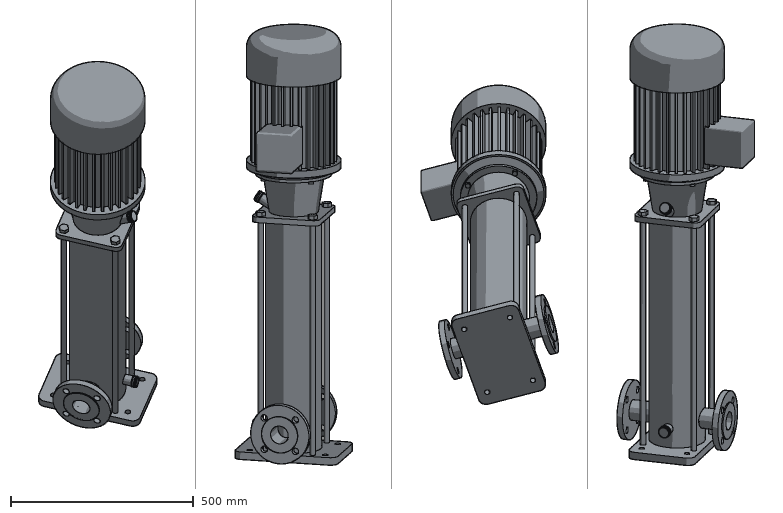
import cadquery as cq
import math


total_height = 1190.0
base_length = 290.0
plate_width = 190.0
base_thickness = 21.0
base_corner_radius = 21.0
base_hole_diameter = 14.0
base_hole_x = 107.0
base_hole_y = 65.0
head_plate_top = 687.0
head_plate_thickness = 15.0
head_corner_radius = 18.0

tube_diameter = 155.0
rod_diameter = 15.0
rod_offset = 74.0
nut_across_corners = 27.0
nut_height = 11.0
nut_sides = 6

nozzle_height = 90.0
nozzle_reach = 150.0
nozzle_pipe_diameter = 57.0
nozzle_bore_diameter = 50.0
nozzle_flange_diameter = 165.0
nozzle_flange_thickness = 17.0
raised_face_diameter = 102.0
raised_face_height = 4.0
nozzle_hole_diameter = 18.0
nozzle_hole_circle = 125.0
nozzle_hole_count = 4

first_bolt_angle = 45

plug_neck_diameter = 29.0
plug_head_diameter = 32.0
plug_head_length = 7.0
plug_head_chamfer = 4.0
plug_groove_length = 5.0
plug_collar_length = 2.0
drain_height = 76.0
drain_reach = 114.0
drain_embedment = 12.0
vent_start_x = 60.0
vent_start_height = 699.0
vent_length = 52.0
vent_tilt = 30.0

stool_bottom_diameter = 136.0
stool_top_diameter = 169.0
ring_diameter = 210.0
ring_bottom = 791.0
ring_thickness = 8.0
stool_screw_diameter = 14.0
stool_screw_circle = 190.0
stool_screw_drop = 7.0
stool_screw_count = 4

motor_diameter = 260.0
motor_flange_bottom = 810.0
motor_flange_top = 831.0
motor_taper_top_diameter = 249.0
cap_bottom = 1067.0
cap_dome_radius = 40.0
fin_tip_diameter = 237.0
fin_root_diameter = 202.0
fin_thickness = 6.5
fin_count = 30
first_fin_angle = 270

box_width = 104.0
box_bottom = 843.0
box_height = 111.0
box_reach = 208.0
box_inner_y = 98.0
box_edge_radius = 6.0


def cylinder(diameter, bottom, top):
    """Upright cylinder on the pump axis."""
    return cq.Workplane("XY").workplane(offset=bottom).circle(diameter / 2).extrude(top - bottom)


def cone(bottom_diameter, top_diameter, bottom, top):
    """Upright truncated cone on the pump axis."""
    return (
        cq.Workplane("XY").workplane(offset=bottom).circle(bottom_diameter / 2)
        .workplane(offset=top - bottom).circle(top_diameter / 2).loft(ruled=True)
    )


def rounded_plate(length, width, bottom, thickness, corner_radius):
    """Horizontal plate with rounded vertical corners."""
    plate = cq.Workplane("XY").workplane(offset=bottom).rect(length, width).extrude(thickness)
    return plate.edges("|Z").fillet(corner_radius)


def make_base():
    base = rounded_plate(base_length, plate_width, 0, base_thickness, base_corner_radius)
    return (
        base.faces(">Z").workplane()
        .rect(2 * base_hole_x, 2 * base_hole_y, forConstruction=True)
        .vertices().hole(base_hole_diameter)
    )


def make_tie_rods():
    """Four rods between the plates, each with a hexagon nut on the head plate."""
    spacing = 2 * rod_offset
    rods = (
        cq.Workplane("XY").rect(spacing, spacing, forConstruction=True).vertices()
        .circle(rod_diameter / 2).extrude(head_plate_top)
    )
    nuts = (
        cq.Workplane("XY").workplane(offset=head_plate_top)
        .rect(spacing, spacing, forConstruction=True).vertices()
        .polygon(nut_sides, nut_across_corners).extrude(nut_height)
    )
    return rods.union(nuts)


def make_nozzles():
    """Bored pipe along Y with a drilled flange and raised face at each end."""
    def nozzle_plane(y):
        return cq.Workplane(cq.Plane((0, y, nozzle_height), xDir=(1, 0, 0), normal=(0, 1, 0)))

    def disc(diameter, start_y, end_y):
        return nozzle_plane(start_y).circle(diameter / 2).extrude(end_y - start_y)

    flange_face = nozzle_reach - raised_face_height
    flange_back = flange_face - nozzle_flange_thickness
    holes = (
        nozzle_plane(-nozzle_reach)
        .polarArray(nozzle_hole_circle / 2, first_bolt_angle, 360, nozzle_hole_count)
        .circle(nozzle_hole_diameter / 2).extrude(2 * nozzle_reach)
    )
    nozzles = disc(raised_face_diameter, flange_back, nozzle_reach)
    nozzles = nozzles.union(disc(raised_face_diameter, -nozzle_reach, -flange_back))
    for side in (-1, 1):
        nozzles = nozzles.union(disc(nozzle_flange_diameter, side * flange_back, side * flange_face))
    pipe = disc(nozzle_pipe_diameter, -nozzle_reach, nozzle_reach)
    bore = disc(nozzle_bore_diameter, -nozzle_reach, nozzle_reach)
    return nozzles.cut(holes).union(pipe).cut(bore)


def make_plug(start_x, start_z, length, tilt):
    """Screw plug in the XZ plane: neck, collar, groove and head along a tilted axis."""
    direction = (math.cos(math.radians(tilt)), 0, math.sin(math.radians(tilt)))
    plane = cq.Plane((start_x, 0, start_z), xDir=(0, 1, 0), normal=direction)
    plug = cq.Workplane(plane).circle(plug_neck_diameter / 2).extrude(length)
    head_start = length - plug_head_length
    collar_start = head_start - plug_groove_length - plug_collar_length
    collar = cq.Workplane(plane).workplane(offset=collar_start).circle(plug_head_diameter / 2)
    head = cq.Workplane(plane).workplane(offset=head_start).circle(plug_head_diameter / 2)
    head = head.extrude(plug_head_length).faces(cq.selectors.DirectionMinMaxSelector(plane.zDir))
    head = head.chamfer(plug_head_chamfer)
    return plug.union(collar.extrude(plug_collar_length)).union(head)


def make_stool():
    """Conical motor stool carrying a flat ring with screws below it."""
    ring_top = ring_bottom + ring_thickness
    stool = cone(stool_bottom_diameter, stool_top_diameter, head_plate_top, ring_bottom)
    ring = cylinder(ring_diameter, ring_bottom, ring_top)
    taper = cone(ring_diameter, motor_taper_top_diameter, ring_top, motor_flange_bottom)
    screws = (
        cq.Workplane("XY").workplane(offset=ring_bottom - stool_screw_drop)
        .polarArray(stool_screw_circle / 2, first_bolt_angle, 360, stool_screw_count)
        .circle(stool_screw_diameter / 2).extrude(stool_screw_drop + ring_thickness)
    )
    return stool.union(ring).union(taper).union(screws)


def make_motor():
    """Finned barrel between a flange and a domed fan cap."""
    flange = cylinder(motor_diameter, motor_flange_bottom, motor_flange_top)
    barrel = cylinder(fin_root_diameter, motor_flange_top, cap_bottom)
    cap = cylinder(motor_diameter, cap_bottom, total_height).faces(">Z").edges().fillet(cap_dome_radius)
    fin_length = fin_tip_diameter / 2
    fins = (
        cq.Workplane("XY").workplane(offset=motor_flange_top)
        .polarArray(fin_length / 2, first_fin_angle, 360, fin_count)
        .rect(fin_length, fin_thickness).extrude(cap_bottom - motor_flange_top)
    )
    return flange.union(barrel).union(fins).union(cap)


def make_terminal_box():
    box = cq.Workplane("XY").box(
        box_width, box_reach - box_inner_y, box_height, centered=(True, False, False)
    )
    box = box.edges("|Y or >Y").fillet(box_edge_radius)
    return box.translate((0, box_inner_y, box_bottom))


head_plate_bottom = head_plate_top - head_plate_thickness
result = make_base()
result = result.union(
    rounded_plate(plate_width, plate_width, head_plate_bottom, head_plate_thickness, head_corner_radius)
)
result = result.union(make_tie_rods())
result = result.union(make_nozzles())
result = result.union(cylinder(tube_diameter, base_thickness, head_plate_bottom))
drain_start_x = tube_diameter / 2 - drain_embedment
result = result.union(make_plug(drain_start_x, drain_height, drain_reach - drain_start_x, 0))
result = result.union(make_stool())
result = result.union(make_plug(vent_start_x, vent_start_height, vent_length, vent_tilt))
result = result.union(make_motor())
result = result.union(make_terminal_box())